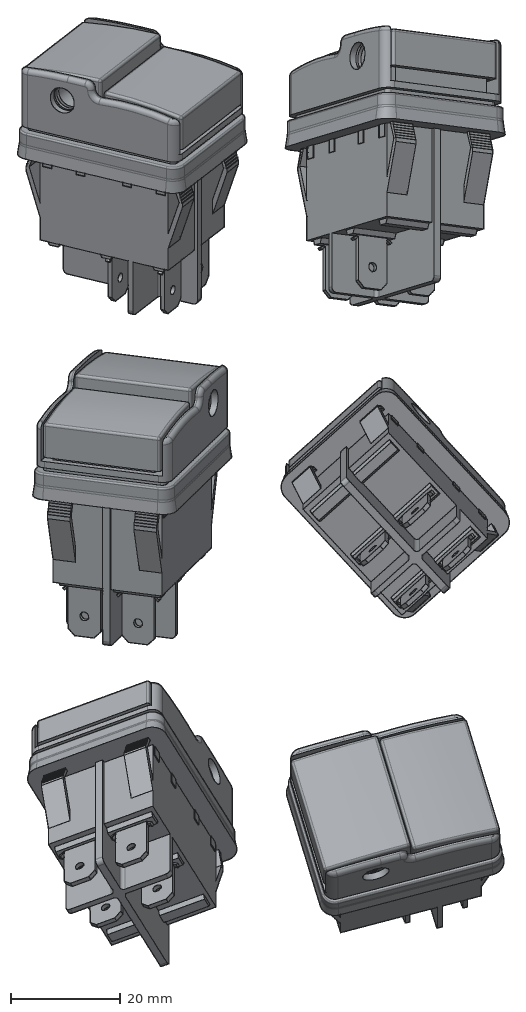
import cadquery as cq
import math


divider_length = 28.17
divider_thickness = 1.45
divider_corner = 0.95
rib_x = 5.5
rib_thickness = 1.05
rib_root_radius = 0.7

body_length = 26.85
body_width = 21.25
body_bottom = 11.0
bezel_bottom = 28.5

tab_outer_x = 11.9
tab_outer_width = 1.85
tab_inner_x = 4.85
tab_inner_width = 1.8
tab_height = 2.4
tab_proud = 0.2

clip_width = 4.4
clip_reach = 16.45
clip_elbow_top = 25.3
clip_elbow_bottom = 24.5
clip_foot_bottom = 15.5
clip_foot_top = 18.5
clip_inner_elbow_x = 15.72
clip_top_outer_x = 15.25
clip_top_inner_x = 14.5
clip_steps = 7
clip_step_height = 0.5

foot_pitch = 11.0
foot_top_width = 2.75
foot_bottom_width = 1.85
foot_height = 1.0
foot_length = 19.75
blade_y = 5.25
blade_width = 6.25
blade_thickness = 0.85
blade_bottom = 0.3
blade_chamfer = 1.25
blade_hole_diameter = 1.7
blade_hole_z = 4.3
barb_reach = 1.08
barb_drop = 0.7
barb_thickness = 0.35

bezel_length = 35.0
bezel_width = 27.9
bezel_corner = 2.8
bezel_flare = 0.37
bezel_flare_height = 2.5
bezel_blend = 2.8
bezel_top = 33.5
bezel_top_radius = 0.35

housing_length = 33.45
housing_width = 26.3
housing_corner = 2.05
housing_bottom = 34.5
housing_edge_radius = 0.95
neck_inset = 1.15
channel_width = 23.7
channel_floor = 35.75
wall_end_high = 46.0
wall_flat_start = -6.35
wall_high = 46.6
shoulder_start = -2.65
shoulder_radius = 1.55
valley_radius = 1.4
wall_crown_x = 6.75
wall_crown_z = 43.85
wall_end_low = 42.55

rocker_length = 33.45
rocker_width = 22.85
rocker_edge_radius = 0.5
rocker_bottom_left = 38.7
rocker_bottom_right = 36.55
groove_width = 0.45
groove_bottom = 42.6
rocker_high = 46.8
rocker_high_mid = 46.45
rocker_high_end = 45.5
rocker_low = 44.55
rocker_low_mid = 44.25
rocker_low_end = 43.1
core_length = 2.8
pedestal_length = 30.7
pedestal_width = 19.95
side_wall = 0.7
side_gap_top = 44.75
cross_hole_diameter = 5.0
cross_hole_x = -7.4
cross_hole_z = 41.8

overlap = 0.45


def block(length, width, bottom, top, x=0, y=0):
    """Upright box centred on (x, y)."""
    return (
        cq.Workplane("XY", origin=(x, y, bottom))
        .rect(length, width)
        .extrude(top - bottom)
    )


def rounded_block(length, width, corner, bottom, top):
    return block(length, width, bottom, top).edges("|Z").fillet(corner)


def across(width, y=0):
    """XZ sketch plane whose extrusion by `width` is centred on y."""
    return cq.Workplane("XZ", origin=(0, y + width / 2, 0))


def make_divider():
    """Lengthwise divider and cross rib joined by rounded inside corners."""
    lengthwise = block(divider_length, divider_thickness, 0, bezel_bottom + overlap)
    lengthwise = lengthwise.edges("|Y and <Z").fillet(divider_corner)
    rib = block(rib_thickness, body_width, 0, body_bottom + overlap, rib_x)
    rib = rib.edges("|X and <Z").fillet(divider_corner)
    root_corner = cq.selectors.BoxSelector(
        (rib_x - rib_thickness, -divider_thickness, 0),
        (rib_x + rib_thickness, divider_thickness, body_bottom),
    )
    return lengthwise.union(rib).edges("|Z").edges(root_corner).fillet(rib_root_radius)


def make_tabs():
    tabs = cq.Workplane("XY")
    for x, width in ((tab_outer_x, tab_outer_width), (tab_inner_x, tab_inner_width)):
        for side in (-1, 1):
            tabs = tabs.union(
                block(
                    width,
                    body_width + 2 * tab_proud,
                    bezel_bottom - tab_height,
                    bezel_bottom + overlap,
                    side * x,
                )
            )
    return tabs


def make_clip():
    """Bent spring clip on the -X face with a stepped upper outer face."""
    wall = -body_length / 2
    run = (clip_reach - clip_top_outer_x) / clip_steps
    outline = [
        (wall + overlap, clip_foot_bottom),
        (wall, clip_foot_bottom),
        (-clip_reach, clip_elbow_bottom),
    ]
    for step in range(clip_steps):
        x = -clip_reach + step * run
        ledge = clip_elbow_top + step * clip_step_height
        outline += [(x, ledge), (x + run, ledge)]
    outline += [
        (-clip_top_outer_x, bezel_bottom + overlap),
        (-clip_top_inner_x, bezel_bottom + overlap),
        (-clip_top_inner_x, bezel_bottom),
        (-clip_inner_elbow_x, clip_elbow_top),
        (wall, clip_foot_top),
        (wall + overlap, clip_foot_top),
    ]
    clip_y = (body_width - clip_width) / 2
    return across(clip_width, clip_y).polyline(outline).close().extrude(clip_width)


def make_clips():
    clip = make_clip()
    pair = clip.union(clip.mirror("XZ"))
    return pair.union(pair.mirror("YZ"))


def make_foot(x):
    outline = [
        (x - foot_top_width / 2, body_bottom + overlap),
        (x - foot_top_width / 2, body_bottom),
        (x - foot_bottom_width / 2, body_bottom - foot_height),
        (x + foot_bottom_width / 2, body_bottom - foot_height),
        (x + foot_top_width / 2, body_bottom),
        (x + foot_top_width / 2, body_bottom + overlap),
    ]
    return across(foot_length).polyline(outline).close().extrude(foot_length)


def make_terminal(x, y):
    """Flat blade with a chamfered tip, a cross hole and two barbs under the foot."""
    foot_bottom = body_bottom - foot_height
    blade = block(blade_thickness, blade_width, blade_bottom, body_bottom, x, y)
    blade = blade.edges("|X and <Z").chamfer(blade_chamfer)
    plane = cq.Workplane("YZ", origin=(x - blade_thickness / 2, y, 0))
    hole = plane.center(0, blade_hole_z).circle(blade_hole_diameter / 2)
    blade = blade.cut(hole.extrude(blade_thickness))
    edge = blade_width / 2
    for side in (-1, 1):
        barb = [
            (0, foot_bottom),
            (side * edge, foot_bottom),
            (side * (edge + barb_reach), foot_bottom - barb_drop),
            (side * (edge + barb_reach - barb_thickness), foot_bottom - barb_drop - barb_thickness),
            (side * edge, foot_bottom - barb_thickness),
            (0, foot_bottom - barb_thickness),
        ]
        blade = blade.union(plane.polyline(barb).close().extrude(blade_thickness))
    return blade


def make_bezel():
    flare_angle = math.degrees(math.atan(bezel_flare / bezel_flare_height))
    flare_top = bezel_bottom + bezel_flare_height
    outline = cq.Sketch().rect(bezel_length, bezel_width).vertices().fillet(bezel_corner)
    skirt = (
        cq.Workplane("XY", origin=(0, 0, bezel_bottom))
        .placeSketch(outline)
        .extrude(bezel_flare_height, taper=flare_angle)
    )
    rim = rounded_block(
        bezel_length - 2 * bezel_flare,
        bezel_width - 2 * bezel_flare,
        bezel_corner - bezel_flare,
        flare_top,
        bezel_top,
    )
    rim = rim.faces(">Z").edges().fillet(bezel_top_radius)
    crease = cq.selectors.BoxSelector(
        (-bezel_length, -bezel_width, flare_top - bezel_top_radius / 2),
        (bezel_length, bezel_width, flare_top + bezel_top_radius / 2),
    )
    return skirt.union(rim).edges(crease).fillet(bezel_blend)


def make_neck():
    return rounded_block(
        housing_length - 2 * neck_inset,
        housing_width - 2 * neck_inset,
        housing_corner - neck_inset,
        bezel_top - overlap,
        housing_bottom + overlap,
    )


def make_housing():
    """Two side walls with a stepped top edge, joined by the channel floor."""
    end = housing_length / 2
    shoulder_z = wall_high - shoulder_radius
    shoulder_end = shoulder_start + shoulder_radius
    valley_x = shoulder_end + valley_radius
    valley_z = shoulder_z - valley_radius
    diagonal = math.sqrt(0.5)
    profile = (
        across(housing_width)
        .moveTo(-end, housing_bottom)
        .lineTo(end, housing_bottom)
        .lineTo(end, wall_end_low)
        .threePointArc((wall_crown_x, wall_crown_z), (valley_x, valley_z))
        .threePointArc(
            (valley_x - valley_radius * diagonal, shoulder_z - valley_radius * diagonal),
            (shoulder_end, shoulder_z),
        )
        .threePointArc(
            (shoulder_start + shoulder_radius * diagonal, shoulder_z + shoulder_radius * diagonal),
            (shoulder_start, wall_high),
        )
        .lineTo(wall_flat_start, wall_high)
        .tangentArcPoint((-end, wall_end_high), relative=False)
        .close()
        .extrude(housing_width)
    )
    corner_edges = profile.edges("|Z and (<X or >X)")
    housing = corner_edges.fillet(housing_corner)
    top_edges = cq.selectors.BoxSelector(
        (-bezel_length, -bezel_width, channel_floor + overlap),
        (bezel_length, bezel_width, rocker_high),
    )
    rim_edges = housing.edges(top_edges).edges("not(|Z or |Y)")
    housing = rim_edges.fillet(housing_edge_radius)
    return housing.cut(block(rocker_length + overlap, channel_width, channel_floor, rocker_high))


def make_button(inner_x, outer_x, bottom, inner_z, middle_z, outer_z):
    """One half of the rocker: crowned top, rounded top and upright edges."""
    button = (
        across(rocker_width)
        .moveTo(inner_x, bottom)
        .lineTo(inner_x, inner_z)
        .threePointArc(((inner_x + outer_x) / 2, middle_z), (outer_x, outer_z))
        .lineTo(outer_x, bottom)
        .close()
        .extrude(rocker_width)
    )
    return button.edges("|Z").fillet(rocker_edge_radius).faces(">Z").edges().fillet(rocker_edge_radius)


def make_rocker():
    """Two buttons on a pedestal, with clearance inside the side walls of the high button."""
    inner = groove_width / 2
    end = rocker_length / 2
    left = make_button(-inner, -end, rocker_bottom_left, rocker_high, rocker_high_mid, rocker_high_end)
    right = make_button(inner, end, rocker_bottom_right, rocker_low, rocker_low_mid, rocker_low_end)
    core = block(core_length, pedestal_width, rocker_bottom_left, groove_bottom)
    pedestal = block(pedestal_length, pedestal_width, channel_floor - overlap, rocker_bottom_left + overlap)
    gap_width = (rocker_width - pedestal_width) / 2 - side_wall
    gap_length = (pedestal_length - core_length) / 2
    for side in (-1, 1):
        gap_y = side * (pedestal_width + gap_width) / 2
        gap_x = -(core_length + gap_length) / 2
        left = left.cut(block(gap_length, gap_width, rocker_bottom_left, side_gap_top, gap_x, gap_y))
    return left.union(right).union(core).union(pedestal)


def make_cross_hole():
    return (
        across(bezel_width)
        .center(cross_hole_x, cross_hole_z)
        .circle(cross_hole_diameter / 2)
        .extrude(bezel_width)
    )


body = block(body_length, body_width, body_bottom, bezel_bottom + overlap)
result = body.union(make_divider()).union(make_tabs()).union(make_clips())
for foot_x in (-foot_pitch, 0, foot_pitch):
    result = result.union(make_foot(foot_x))
for terminal_x in (0, foot_pitch):
    for terminal_y in (-blade_y, blade_y):
        result = result.union(make_terminal(terminal_x, terminal_y))
result = result.union(make_bezel()).union(make_neck()).union(make_housing()).union(make_rocker())
result = result.cut(make_cross_hole())